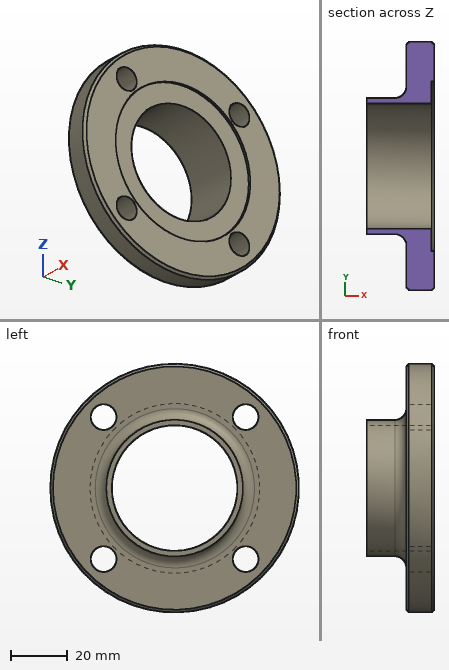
import cadquery as cq

flange_diameter = 88.0
flange_thickness = 10.0
rim_chamfer = 1.0

overall_length = 24.0
hub_diameter = 48.3
bore_diameter = 44.3
hub_fillet = 4.0

recess_diameter = 60.0
recess_depth = 1.0

bolt_hole_diameter = 9.0
bolt_circle_diameter = 71.0
bolt_hole_count = 4
first_bolt_angle = 45.0

hub_length = overall_length - flange_thickness


def make_flange():
    """Disc along +X with both rim edges chamfered; its hub-side face lies at x = hub_length."""
    disc = cq.Workplane("YZ", origin=(hub_length, 0, 0))
    disc = disc.circle(flange_diameter / 2).extrude(flange_thickness)
    return disc.edges("%CIRCLE").chamfer(rim_chamfer)


def make_hub():
    """Solid neck from x = 0 to the flange face, flaring into it with a concave round."""
    hub_radius = hub_diameter / 2
    fillet_start = hub_length - hub_fillet
    foot_radius = hub_radius + hub_fillet
    profile = (
        cq.Workplane("XY")
        .moveTo(0, 0)
        .lineTo(0, hub_radius)
        .lineTo(fillet_start, hub_radius)
        .radiusArc((hub_length, foot_radius), -hub_fillet)
        .lineTo(hub_length, 0)
        .close()
    )
    return profile.revolve(360, (0, 0, 0), (1, 0, 0))


def make_bore():
    """Cutter for the straight bore through the whole length."""
    return cq.Workplane("YZ").circle(bore_diameter / 2).extrude(overall_length)


def make_recess():
    """Cutter for the shallow recess in the +X face, concentric with the bore."""
    recess_floor = cq.Workplane("YZ", origin=(overall_length - recess_depth, 0, 0))
    return recess_floor.circle(recess_diameter / 2).extrude(recess_depth)


def make_bolt_holes():
    """Cutters for the evenly spaced bolt holes through the flange."""
    return (
        cq.Workplane("YZ", origin=(hub_length, 0, 0))
        .polarArray(bolt_circle_diameter / 2, first_bolt_angle, 360, bolt_hole_count)
        .circle(bolt_hole_diameter / 2)
        .extrude(flange_thickness)
    )


body = make_flange().union(make_hub())
result = body.cut(make_bore()).cut(make_recess()).cut(make_bolt_holes())